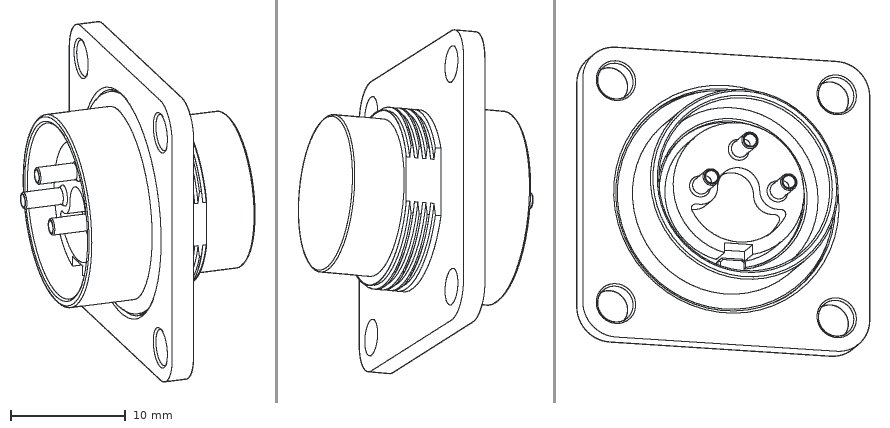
import cadquery as cq
import math


flange_side = 26.0
flange_thickness = 2.0
corner_radius = 3.0
hole_pitch = 20.0
hole_diameter = 3.2
hole_chamfer = 0.18

rear_diameter = 13.8
rear_end = 10.0
rear_chamfer = 0.15
thread_diameter = 15.96
thread_end = 5.25
thread_depth = 0.35
thread_pitch = 0.75
thread_start = 2.65
thread_turns = 4
ridge_base = 0.45
ridge_crest = 0.18
flat_width = 14.77

cup_diameter = 17.0
cup_bore_diameter = 15.5
cup_length = 6.0
cup_chamfer = 0.18
step_depth = 2.0
inner_bore_diameter = 13.15
inner_bore_chamfer = 0.18
inner_floor_depth = 1.3

groove_diameter = 20.4
groove_depth = 1.05
groove_chamfer = 0.25
ring_protrusion = 0.4
ring_section = 1.33
ring_squeeze = 0.05

insert_diameter = 11.85
insert_front = 4.0
pocket_floor = 2.0
pocket_outer_radius = 4.75
pin_circle_radius = 3.5
pin_web_radius = 1.6
pocket_corner_radius = 0.403
notch_width = 2.55
notch_bottom = 4.91

key_width = 2.5
key_top = 5.75
key_chamfer = 0.18
key_corner = 0.3

pin_diameter = 1.48
pin_tip = 7.8
pin_chamfer = 0.1
pin_bore_diameter = 1.1
pin_bore_depth = 2.0
pin_bore_cone = 0.3
collar_diameter = 1.87
collar_length = 0.3

overlap = 0.25


def front_plane(depth):
    """Sketch plane facing -Y at the given distance in front of the flange, keeping +X and +Z."""
    return cq.Workplane("XZ", origin=(0, -depth, 0))


def cylinder(diameter, front, back):
    """Cylinder on the Y axis from Y = -front to Y = back."""
    return front_plane(-back).circle(diameter / 2).extrude(front + back)


def make_flange():
    plate = front_plane(-flange_thickness).rect(flange_side, flange_side).extrude(flange_thickness)
    plate = plate.edges("|Y").fillet(corner_radius)
    holes = (
        front_plane(-flange_thickness)
        .rect(hole_pitch, hole_pitch, forConstruction=True)
        .vertices()
        .circle(hole_diameter / 2)
        .extrude(flange_thickness)
    )
    plate = plate.cut(holes)
    hole_rims = plate.faces("<Y").edges("%CIRCLE").edges(cq.selectors.RadiusNthSelector(0))
    plate = hole_rims.chamfer(hole_chamfer)
    groove = cylinder(groove_diameter - 2 * groove_chamfer, 0, groove_depth)
    groove_rim = cq.Solid.makeCone(
        groove_diameter / 2,
        groove_diameter / 2 - groove_chamfer,
        groove_chamfer,
        cq.Vector(0, 0, 0),
        cq.Vector(0, 1, 0),
    )
    return plate.cut(groove.union(cq.Workplane(groove_rim)))


def make_thread():
    """Collar flattened on both sides, with evenly spaced ridges standing on its core."""
    crest_radius = thread_diameter / 2
    root_radius = crest_radius - thread_depth
    flank = (ridge_base - ridge_crest) / 2
    groove_width = thread_pitch - ridge_base
    profile = cq.Workplane("XY").moveTo(0, 0).lineTo(crest_radius, 0)
    for turn in range(thread_turns):
        groove_start = thread_start + turn * thread_pitch
        groove_end = min(groove_start + groove_width, thread_end)
        profile = profile.lineTo(crest_radius, groove_start - flank).lineTo(root_radius, groove_start)
        profile = profile.lineTo(root_radius, groove_end)
        if groove_end < thread_end:
            profile = profile.lineTo(crest_radius, groove_end + flank)
    collar = profile.lineTo(root_radius, thread_end).lineTo(0, thread_end).close()
    collar = collar.revolve(360, (0, 0), (0, 1))
    flats = front_plane(-thread_end).rect(flat_width, flange_side).extrude(thread_end)
    return collar.intersect(flats)


def make_cup():
    cup = cylinder(cup_diameter, cup_length, flange_thickness)
    cup = cup.cut(cylinder(cup_bore_diameter, cup_length, -step_depth))
    cup = cup.faces("<Y").edges().chamfer(cup_chamfer)
    cup = cup.cut(cylinder(inner_bore_diameter, step_depth, -inner_floor_depth))
    bore_chamfer = cq.Solid.makeCone(
        inner_bore_diameter / 2 + inner_bore_chamfer,
        inner_bore_diameter / 2,
        inner_bore_chamfer,
        cq.Vector(0, -step_depth, 0),
        cq.Vector(0, 1, 0),
    )
    return cup.cut(cq.Workplane(bore_chamfer))


def make_key():
    key_bottom = inner_bore_diameter / 2 + overlap
    key = (
        front_plane(inner_floor_depth - overlap)
        .center(0, -(key_top + key_bottom) / 2)
        .rect(key_width, key_bottom - key_top)
        .extrude(step_depth - inner_floor_depth + overlap)
        .edges("|Y and >Z")
        .chamfer(key_corner)
    )
    return key.faces("<Y").edges("not <Z").chamfer(key_chamfer)


def make_ring():
    ring_centre = (cup_diameter + ring_section) / 2 - ring_squeeze
    section = cq.Workplane("XY").center(ring_centre, ring_section / 2 - ring_protrusion)
    return section.circle(ring_section / 2).revolve(360, (-ring_centre, 0), (-ring_centre, 1))


def make_pocket():
    """Pocket below the middle pin: a round top that flows around the two side pins into a wide bowl."""
    top_radius = pin_circle_radius - pin_web_radius
    diagonal = math.sqrt(0.5)
    corner_x = math.sqrt(pocket_outer_radius**2 - pin_web_radius**2)
    web_mid_x = pin_circle_radius - pin_web_radius * diagonal
    web_mid_z = -pin_web_radius * diagonal
    pocket = (
        front_plane(pocket_floor)
        .moveTo(-top_radius, 0)
        .threePointArc((0, top_radius), (top_radius, 0))
        .threePointArc((web_mid_x, web_mid_z), (pin_circle_radius, -pin_web_radius))
        .lineTo(corner_x, -pin_web_radius)
        .threePointArc((0, -pocket_outer_radius), (-corner_x, -pin_web_radius))
        .lineTo(-pin_circle_radius, -pin_web_radius)
        .threePointArc((-web_mid_x, web_mid_z), (-top_radius, 0))
        .close()
        .extrude(insert_front - pocket_floor)
    )
    return pocket.edges("|Y and (<X or >X)").fillet(pocket_corner_radius)


def make_insert():
    insert = cylinder(insert_diameter, insert_front, 0)
    notch_height = insert_diameter / 2 - notch_bottom + overlap
    notch = (
        front_plane(inner_floor_depth)
        .center(0, -notch_bottom - notch_height / 2)
        .rect(notch_width, notch_height)
        .extrude(insert_front - inner_floor_depth)
    )
    return insert.cut(notch).cut(make_pocket())


def make_pin():
    """Hollow pin along the Y axis with a conical collar where it leaves the insert."""
    radius = pin_diameter / 2
    bore_radius = pin_bore_diameter / 2
    bore_end = pin_tip - pin_bore_depth
    return (
        cq.Workplane("XY")
        .moveTo(0, -(insert_front - overlap))
        .lineTo(collar_diameter / 2, -(insert_front - overlap))
        .lineTo(collar_diameter / 2, -insert_front)
        .lineTo(radius, -(insert_front + collar_length))
        .lineTo(radius, -(pin_tip - pin_chamfer))
        .lineTo(radius - pin_chamfer, -pin_tip)
        .lineTo(bore_radius, -pin_tip)
        .lineTo(bore_radius, -bore_end)
        .lineTo(0, -(bore_end - pin_bore_cone))
        .close()
        .revolve(360, (0, 0), (0, 1))
    )


rear_shell = cylinder(rear_diameter, 0, rear_end).faces(">Y").edges().chamfer(rear_chamfer)

result = make_flange().union(make_cup()).union(make_thread()).union(rear_shell)
result = result.union(make_key()).union(make_ring()).union(make_insert())
for pin_x, pin_z in [(-pin_circle_radius, 0), (0, pin_circle_radius), (pin_circle_radius, 0)]:
    result = result.union(make_pin().translate((pin_x, 0, pin_z)))